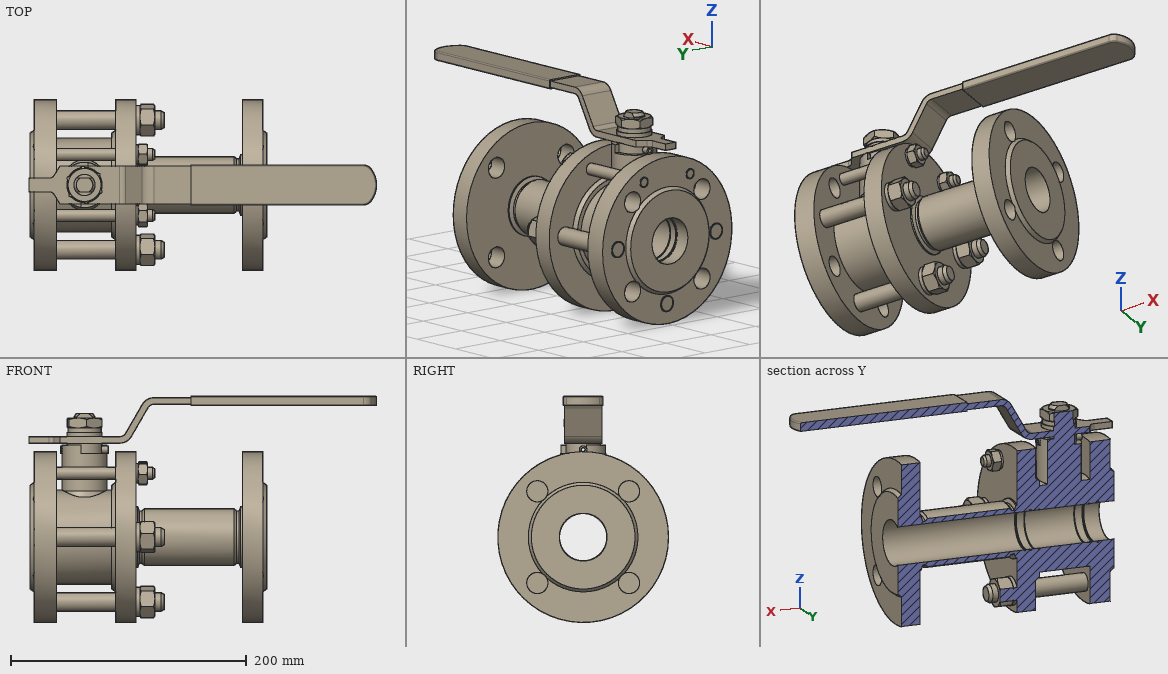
import cadquery as cq
import math


FLANGE_DIA = 145
BODY_FLANGE_START = -42.8
BODY_FLANGE_END = -23.6
MID_FLANGE_START = 26.4
PLAIN_FLANGE_THICK = 17.4
MID_FLANGE_END = MID_FLANGE_START + PLAIN_FLANGE_THICK
END_FLANGE_START = 133.8
END_FLANGE_END = END_FLANGE_START + PLAIN_FLANGE_THICK
FACE_HEIGHT = 3.5
FACE_TIP_DIA = 88
FACE_ROOT_DIA = 93
BOLT_CIRCLE_DIA = 110
BOLT_HOLE_DIA = 18
BOLT_HOLE_COUNT = 4
BOLT_HOLE_START_ANGLE = 45

BODY_DIA = 80
PIPE_DIA = 48.3
COLLAR_DIA = 51.8
WELD_ROOT_DIA = 44.6
COLLAR_LAND = 1.3
WELD_ROOT_START = 2.7
WELD_ROOT_END = 4.8
PIPE_BEVEL_END = 6.9
BORE_DIA = 40
SEAT_GROOVE_DIA = 42
SEAT_GROOVE_OUTER_X = 32
SEAT_GROOVE_WIDTH = 1.4
BALL_GAP_DIA = 41
BALL_GAP_OUTER_X = 23.5
BALL_GAP_WIDTH = 0.6

LARGE_STUD = {
    "dia": 16, "hole_dia": 14, "tip_dia": 12.6, "length_past_flange": 24, "tip_length": 3,
    "washer_dia": 25, "washer_thick": 3.2, "nut_flats": 24, "nut_height": 12.6,
}
SMALL_STUD = {
    "dia": 10.4, "hole_dia": 8.8, "tip_dia": 7.4, "length_past_flange": 15.8, "tip_length": 2,
    "washer_dia": 16.6, "washer_thick": 1.7, "nut_flats": 17, "nut_height": 8,
}
LARGE_STUD_ANGLES = (0, 180, 270)
LARGE_NUT_TURN = -13
SMALL_STUD_CIRCLE_DIA = 120
SMALL_STUD_ANGLES_AND_TURNS = ((64.5, 27), (115.5, 5))
STUD_RECESS_DEPTH = 1

NECK_DIA = 38.5
NECK_FLARE_DIA = 43
NECK_FLARE_BOTTOM = 33.9
NECK_FLARE_TOP = 39.2
NECK_SHOULDER_Z = 71
NECK_COLLAR_TOP = 78
COLLAR_CUT_OFFSET = 3
STEM_DIA = 29.5
STOP_PIN_DIA = 6.4
STOP_PIN_BORE = 3.2
STOP_PIN_LENGTH = 40.6
STOP_PIN_Z = NECK_SHOULDER_Z + STOP_PIN_DIA / 2
STEM_TIP_DIA = 18
STEM_TIP_TOP = 105
STEM_TIP_FLATS = 12.2
STEM_TIP_FLATS_BOTTOM = 99
STEM_TIP_CHAMFER_DROP = 3
STEM_TIP_CHAMFER_INSET = 2

LEVER_THICK = 5.7
LEVER_WIDTH = 32
LEVER_BOTTOM = 79.6
LEVER_TOP = LEVER_BOTTOM + LEVER_THICK
LEVER_RISE = 33.05
LEVER_BEND_X = 33.2
LEVER_BEND_ANGLE = 60
BEND_INNER_RADIUS = 6
TAIL_END_X = -47.2
TAIL_WIDTH = 11.5
TAIL_SHOULDER_X = -27.3
TAIL_TAPER_END_X = -20.8
TAIL_CORNER_RADIUS = 5
GRIP_START_X = 90.2
GRIP_END_X = 247.8
GRIP_CORNER_X = 239.9
GRIP_CORNER_RADIUS = 8
GRIP_WIDTH = 34
GRIP_THICK = 8
GRIP_EDGE_RADIUS = 1
GRIP_CENTRE_Z = LEVER_BOTTOM + LEVER_RISE + LEVER_THICK / 2

STEM_WASHER_DIA = 30
STEM_WASHER_TOP = 88.8
STEM_SPACER_DIA = 28.5
STEM_SPACER_TOP = 92.6
STEM_NUT_FLATS = 28
STEM_NUT_HEIGHT = 8.4
STEM_NUT_TURN = 36.6


def x_disc(start, end, dia, y=0, z=0):
    """Cylinder along X between two stations."""
    return cq.Workplane("YZ", origin=(start, y, z)).circle(dia / 2).extrude(end - start)


def x_cone(start, end, start_dia, end_dia, y=0, z=0):
    """Cone frustum along X."""
    cone = cq.Solid.makeCone(
        start_dia / 2, end_dia / 2, end - start, cq.Vector(start, y, z), cq.Vector(1, 0, 0)
    )
    return cq.Workplane(obj=cone)


def z_disc(bottom, top, dia):
    """Cylinder on the stem axis."""
    return cq.Workplane("XY", origin=(0, 0, bottom)).circle(dia / 2).extrude(top - bottom)


def hex_nut(flats, height, turn):
    """Hexagonal nut along Z, corners rounded off by a 30 degree cone at both ends."""
    corners = flats / math.cos(math.pi / 6)
    drop = (corners - flats) / 2 * math.tan(math.pi / 6)
    nut = cq.Workplane("XY").polygon(6, corners).extrude(height).rotate((0, 0, 0), (0, 0, 1), turn)
    envelope = (
        cq.Workplane("XZ")
        .moveTo(0, 0)
        .lineTo(flats / 2, 0)
        .lineTo(corners / 2, drop)
        .lineTo(corners / 2, height - drop)
        .lineTo(flats / 2, height)
        .lineTo(0, height)
        .close()
        .revolve(360, (0, 0, 0), (0, 1, 0))
    )
    return nut.intersect(envelope)


def make_body():
    """Three flanges with conical faces and the valve body between the first two."""
    ring_start = MID_FLANGE_START - FACE_HEIGHT
    body = x_disc(BODY_FLANGE_START, BODY_FLANGE_END, FLANGE_DIA)
    body = body.union(x_disc(MID_FLANGE_START, MID_FLANGE_END, FLANGE_DIA))
    body = body.union(x_disc(END_FLANGE_START, END_FLANGE_END, FLANGE_DIA))
    body = body.union(x_disc(BODY_FLANGE_END, MID_FLANGE_START, BODY_DIA))
    inlet_face_start = BODY_FLANGE_START - FACE_HEIGHT
    body = body.union(x_cone(inlet_face_start, BODY_FLANGE_START, FACE_TIP_DIA, FACE_ROOT_DIA))
    body = body.union(x_cone(ring_start, MID_FLANGE_START, FACE_TIP_DIA, FACE_ROOT_DIA))
    outlet_face_end = END_FLANGE_END + FACE_HEIGHT
    return body.union(x_cone(END_FLANGE_END, outlet_face_end, FACE_ROOT_DIA, FACE_TIP_DIA))


def make_pipe():
    """Extension pipe with a bevelled weld groove and a collar at each flange."""
    middle = (MID_FLANGE_END + END_FLANGE_START) / 2
    half_profile = (
        cq.Workplane("XY")
        .moveTo(MID_FLANGE_END, 0)
        .lineTo(MID_FLANGE_END, COLLAR_DIA / 2)
        .lineTo(MID_FLANGE_END + COLLAR_LAND, COLLAR_DIA / 2)
        .lineTo(MID_FLANGE_END + WELD_ROOT_START, WELD_ROOT_DIA / 2)
        .lineTo(MID_FLANGE_END + WELD_ROOT_END, WELD_ROOT_DIA / 2)
        .lineTo(MID_FLANGE_END + PIPE_BEVEL_END, PIPE_DIA / 2)
        .lineTo(middle, PIPE_DIA / 2)
        .lineTo(middle, 0)
        .close()
    )
    half = half_profile.revolve(360, (0, 0, 0), (1, 0, 0))
    return half.union(half.mirror("YZ", (middle, 0, 0)))


def cut_bolt_holes(part):
    """Bolt holes through the first and last flange."""
    for step in range(BOLT_HOLE_COUNT):
        angle = math.radians(BOLT_HOLE_START_ANGLE + step * 360 / BOLT_HOLE_COUNT)
        y = BOLT_CIRCLE_DIA / 2 * math.cos(angle)
        z = BOLT_CIRCLE_DIA / 2 * math.sin(angle)
        part = part.cut(x_disc(BODY_FLANGE_START - FACE_HEIGHT, BODY_FLANGE_END, BOLT_HOLE_DIA, y, z))
        part = part.cut(x_disc(END_FLANGE_START, END_FLANGE_END + FACE_HEIGHT, BOLT_HOLE_DIA, y, z))
    return part


def add_stud(part, size, circle_dia, angle, nut_turn):
    """Stud from the first flange through the middle one, with washer, nut and bevelled ends."""
    y = circle_dia / 2 * math.cos(math.radians(angle))
    z = circle_dia / 2 * math.sin(math.radians(angle))
    tip_end = MID_FLANGE_END + size["length_past_flange"]
    tip_start = tip_end - size["tip_length"]
    nut_start = MID_FLANGE_END + size["washer_thick"]
    nut = hex_nut(size["nut_flats"], size["nut_height"], nut_turn)
    nut = nut.rotate((0, 0, 0), (1, 1, 1), 120).translate((nut_start, y, z))
    part = part.union(x_disc(BODY_FLANGE_END, tip_start, size["dia"], y, z))
    part = part.union(x_cone(tip_start, tip_end, size["dia"], size["tip_dia"], y, z))
    part = part.union(x_disc(MID_FLANGE_END, nut_start, size["washer_dia"], y, z))
    part = part.union(nut)
    recess_end = BODY_FLANGE_START + STUD_RECESS_DEPTH
    recess = x_disc(BODY_FLANGE_START, recess_end, size["hole_dia"], y, z)
    recess = recess.cut(x_cone(BODY_FLANGE_START, recess_end, size["tip_dia"], size["hole_dia"], y, z))
    return part.cut(recess)


def make_neck():
    """Neck flared onto the body, with two opposite collar quadrants left standing around the stem."""
    collar = z_disc(NECK_SHOULDER_Z, NECK_COLLAR_TOP, NECK_DIA)
    quadrant = (
        cq.Workplane("XY", origin=(COLLAR_CUT_OFFSET, COLLAR_CUT_OFFSET, NECK_SHOULDER_Z))
        .rect(NECK_DIA, NECK_DIA, centered=False)
        .extrude(NECK_COLLAR_TOP - NECK_SHOULDER_Z)
    )
    quadrants = quadrant.union(quadrant.rotate((0, 0, 0), (0, 0, 1), 180))
    neck = z_disc(NECK_FLARE_BOTTOM, NECK_SHOULDER_Z, NECK_DIA)
    flare_height = NECK_FLARE_TOP - NECK_FLARE_BOTTOM
    flare_base = cq.Vector(0, 0, NECK_FLARE_BOTTOM)
    flare = cq.Solid.makeCone(NECK_FLARE_DIA / 2, NECK_DIA / 2, flare_height, flare_base)
    neck = neck.union(cq.Workplane(obj=flare))
    neck = neck.union(collar.intersect(quadrants))
    return neck.union(z_disc(NECK_SHOULDER_Z, LEVER_TOP, STEM_DIA))


def add_stop_pin(part):
    """Hollow stop pin across the stem."""
    half = STOP_PIN_LENGTH / 2
    part = part.union(x_disc(-half, half, STOP_PIN_DIA, z=STOP_PIN_Z))
    return part.cut(x_disc(-half, half, STOP_PIN_BORE, z=STOP_PIN_Z))


def make_stem_stack():
    """Washer, spacer, nut and flattened stem tip above the lever."""
    tip = z_disc(LEVER_TOP, STEM_TIP_TOP, STEM_TIP_DIA)
    tip = tip.faces(">Z").chamfer(STEM_TIP_CHAMFER_DROP, STEM_TIP_CHAMFER_INSET)
    flats = z_disc(STEM_TIP_FLATS_BOTTOM, STEM_TIP_TOP, STEM_TIP_DIA)
    flats = flats.cut(cq.Workplane("XY").box(STEM_TIP_DIA, STEM_TIP_FLATS, 2 * STEM_TIP_TOP))
    nut = hex_nut(STEM_NUT_FLATS, STEM_NUT_HEIGHT, STEM_NUT_TURN)
    stack = z_disc(LEVER_TOP, STEM_WASHER_TOP, STEM_WASHER_DIA)
    stack = stack.union(z_disc(STEM_WASHER_TOP, STEM_SPACER_TOP, STEM_SPACER_DIA))
    stack = stack.union(nut.translate((0, 0, STEM_SPACER_TOP)))
    return stack.union(tip).cut(flats)


def make_lever():
    """Bent flat bar with a narrow tail."""
    slope = math.radians(LEVER_BEND_ANGLE)
    run = LEVER_RISE / math.tan(slope)
    skew = LEVER_THICK * math.tan(slope / 2)
    bar_end = GRIP_START_X + GRIP_THICK
    side = (
        cq.Workplane("XZ")
        .moveTo(TAIL_END_X, LEVER_BOTTOM)
        .lineTo(LEVER_BEND_X + skew, LEVER_BOTTOM)
        .lineTo(LEVER_BEND_X + skew + run, LEVER_BOTTOM + LEVER_RISE)
        .lineTo(bar_end, LEVER_BOTTOM + LEVER_RISE)
        .lineTo(bar_end, LEVER_TOP + LEVER_RISE)
        .lineTo(LEVER_BEND_X + run, LEVER_TOP + LEVER_RISE)
        .lineTo(LEVER_BEND_X, LEVER_TOP)
        .lineTo(TAIL_END_X, LEVER_TOP)
        .close()
        .extrude(LEVER_WIDTH / 2, both=True)
    )
    outer_radius = BEND_INNER_RADIUS + LEVER_THICK
    outer_points = (
        (LEVER_BEND_X + skew, 0, LEVER_BOTTOM),
        (LEVER_BEND_X + run, 0, LEVER_TOP + LEVER_RISE),
    )
    inner_points = (
        (LEVER_BEND_X, 0, LEVER_TOP),
        (LEVER_BEND_X + skew + run, 0, LEVER_BOTTOM + LEVER_RISE),
    )
    for points, radius in ((outer_points, outer_radius), (inner_points, BEND_INNER_RADIUS)):
        for point in points:
            side = side.edges(cq.selectors.NearestToPointSelector(point)).fillet(radius)
    outline = (
        cq.Workplane("XY", origin=(0, 0, LEVER_BOTTOM))
        .moveTo(TAIL_END_X, -TAIL_WIDTH / 2)
        .lineTo(TAIL_SHOULDER_X, -TAIL_WIDTH / 2)
        .lineTo(TAIL_TAPER_END_X, -LEVER_WIDTH / 2)
        .lineTo(bar_end, -LEVER_WIDTH / 2)
        .lineTo(bar_end, LEVER_WIDTH / 2)
        .lineTo(TAIL_TAPER_END_X, LEVER_WIDTH / 2)
        .lineTo(TAIL_SHOULDER_X, TAIL_WIDTH / 2)
        .lineTo(TAIL_END_X, TAIL_WIDTH / 2)
        .close()
        .extrude(LEVER_RISE + LEVER_THICK)
    )
    for side_sign in (-1, 1):
        corner = (TAIL_SHOULDER_X, side_sign * TAIL_WIDTH / 2, LEVER_TOP + LEVER_RISE / 2)
        corner_edge = cq.selectors.NearestToPointSelector(corner)
        outline = outline.edges("|Z").edges(corner_edge).fillet(TAIL_CORNER_RADIUS)
    return side.intersect(outline)


def make_grip():
    """Sleeve over the lever end with a rounded outer end and softened long edges."""
    return (
        cq.Workplane("XY", origin=(0, 0, GRIP_CENTRE_Z - GRIP_THICK / 2))
        .moveTo(GRIP_START_X, -GRIP_WIDTH / 2)
        .lineTo(GRIP_CORNER_X, -GRIP_WIDTH / 2)
        .threePointArc((GRIP_END_X, 0), (GRIP_CORNER_X, GRIP_WIDTH / 2))
        .lineTo(GRIP_START_X, GRIP_WIDTH / 2)
        .close()
        .extrude(GRIP_THICK)
        .edges("|Z and (not <X)")
        .fillet(GRIP_CORNER_RADIUS)
        .faces("|Z")
        .edges("not <X")
        .fillet(GRIP_EDGE_RADIUS)
    )


def cut_bore(part):
    """Straight bore with shallow grooves at the seats and beside the ball, alike on both sides."""
    part = part.cut(x_disc(BODY_FLANGE_START - FACE_HEIGHT, END_FLANGE_END + FACE_HEIGHT, BORE_DIA))
    grooves = (
        (SEAT_GROOVE_OUTER_X, SEAT_GROOVE_WIDTH, SEAT_GROOVE_DIA),
        (BALL_GAP_OUTER_X, BALL_GAP_WIDTH, BALL_GAP_DIA),
    )
    for outer_x, width, dia in grooves:
        part = part.cut(x_disc(-outer_x, width - outer_x, dia))
        part = part.cut(x_disc(outer_x - width, outer_x, dia))
    return part


valve = cut_bolt_holes(make_body().union(make_pipe()))
for stud_angle in LARGE_STUD_ANGLES:
    valve = add_stud(valve, LARGE_STUD, BOLT_CIRCLE_DIA, stud_angle, stud_angle + LARGE_NUT_TURN)
for stud_angle, small_nut_turn in SMALL_STUD_ANGLES_AND_TURNS:
    valve = add_stud(valve, SMALL_STUD, SMALL_STUD_CIRCLE_DIA, stud_angle, small_nut_turn)
valve = add_stop_pin(valve.union(make_neck()))
valve = valve.union(make_lever()).union(make_grip()).union(make_stem_stack())
result = cut_bore(valve)